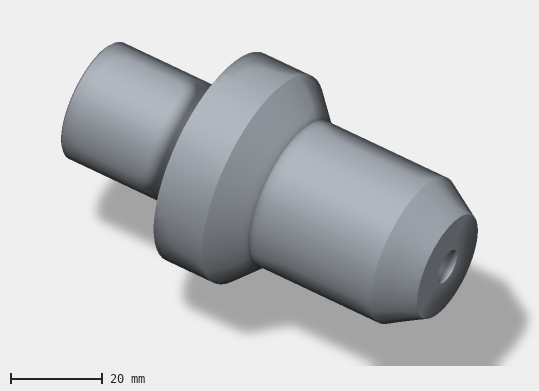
import cadquery as cq

total_length = 91.0
spigot_length = 31.0
spigot_diameter = 28.0
spigot_chamfer = 0.5
flange_thickness = 12.5
flange_diameter = 50.0
body_diameter = 35.0
tip_length = 8.7
tip_diameter = 24.9
bore_diameter = 8.0

spigot_radius = spigot_diameter / 2
flange_radius = flange_diameter / 2
body_radius = body_diameter / 2
tip_radius = tip_diameter / 2

flange_end = spigot_length + flange_thickness
shoulder_end = flange_end + flange_radius - body_radius
tip_start = total_length - tip_length

half_profile = [
    (0, 0),
    (0, spigot_radius - spigot_chamfer),
    (spigot_chamfer, spigot_radius),
    (spigot_length, spigot_radius),
    (spigot_length, flange_radius),
    (flange_end, flange_radius),
    (shoulder_end, body_radius),
    (tip_start, body_radius),
    (total_length, tip_radius),
    (total_length, 0),
]
pin = cq.Workplane("XY").polyline(half_profile).close().revolve(360, (0, 0), (1, 0))

bore = cq.Workplane("YZ").circle(bore_diameter / 2).extrude(total_length)

result = pin.cut(bore)